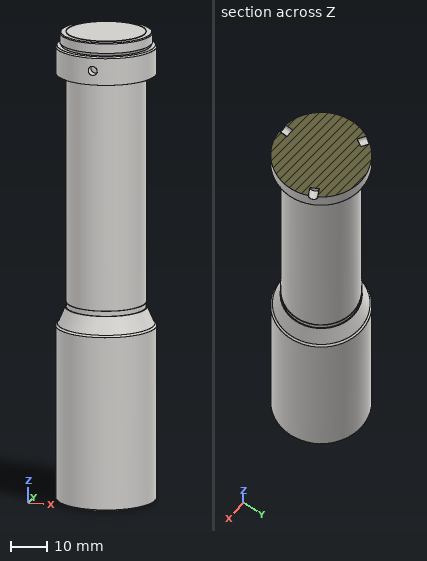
import cadquery as cq

length = 133.0
body_radius = 14.0
tube_radius = 11.2

body_top = 50.0
body_edge = 0.5
cone_top = 54.8
cone_top_radius = 11.3
neck_top = 56.3
neck_step = 0.1
cone_base_radius = body_radius - body_edge

collar_bottom = 121.2
collar_top = 129.2
collar_edge = 0.4
cap_radius = 12.8
cap_chamfer = 0.4
cap_top_edge = 0.3
cap_bottom = 130.0
window_radius = 11.0
window_rise = 0.1
cap_top = length - window_rise

hole_count = 3
hole_diameter = 2.5
hole_depth = body_radius - tube_radius
hole_height = (collar_bottom + collar_top) / 2
first_hole_angle = -91.5


def turned_body():
    """Revolve the half profile of all coaxial stages about Z."""
    profile = [
        (0, 0),
        (body_radius - body_edge, 0),
        (body_radius, body_edge),
        (body_radius, body_top - body_edge),
        (cone_base_radius, body_top),
        (cone_top_radius, cone_top),
        (tube_radius - neck_step, cone_top),
        (tube_radius - neck_step, neck_top),
        (tube_radius, neck_top),
        (tube_radius, collar_bottom),
        (body_radius, collar_bottom),
        (body_radius, collar_top - collar_edge),
        (body_radius - collar_edge, collar_top),
        (cap_radius - cap_chamfer, collar_top),
        (cap_radius, cap_bottom),
        (cap_radius, cap_top - cap_top_edge),
        (cap_radius - cap_top_edge, cap_top),
        (window_radius, cap_top),
        (window_radius, length),
        (0, length),
    ]
    return cq.Workplane("XZ").polyline(profile).close().revolve(360, (0, 0), (0, 1))


def radial_hole(angle):
    """Cutter for one blind hole entering the collar from outside."""
    return (
        cq.Workplane("YZ", origin=(body_radius - hole_depth, 0, hole_height))
        .circle(hole_diameter / 2)
        .extrude(2 * hole_depth)
        .rotate((0, 0, 0), (0, 0, 1), angle)
    )


result = turned_body()
for index in range(hole_count):
    result = result.cut(radial_hole(first_hole_angle + index * 360 / hole_count))